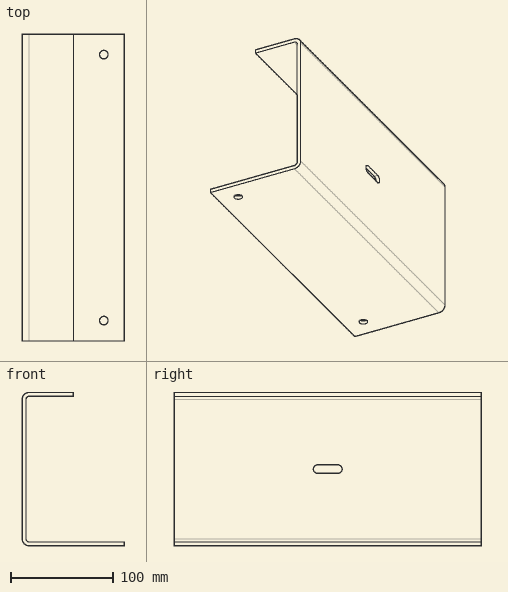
import cadquery as cq

length = 300.0
height = 150.0
bottom_flange = 100.0
top_flange = 50.0

thickness = 4.0
inner_bend_radius = 3.0
outer_bend_radius = inner_bend_radius + thickness

hole_diameter = 8.0
hole_edge_distance = 20.0
slot_length = 28.0
slot_width = hole_diameter


def channel():
    """C-shaped sheet with unequal flanges, web on the -X side, centred along Y."""
    inner_height = height - 2 * thickness
    blank = (
        cq.Workplane("XY")
        .box(bottom_flange, length, height, centered=(False, True, False))
        .edges("|Y and <X")
        .fillet(outer_bend_radius)
    )
    cavity = (
        cq.Workplane("XY")
        .box(bottom_flange, length, inner_height, centered=(False, True, False))
        .edges("|Y and <X")
        .fillet(inner_bend_radius)
        .translate((thickness, 0, thickness))
    )
    top_trim = (
        cq.Workplane("XY")
        .box(bottom_flange, length, height, centered=(False, True, False))
        .translate((top_flange, 0, thickness))
    )
    return blank.cut(cavity).cut(top_trim)


def flange_holes():
    """Cutters for the two holes near the free edge of the bottom flange."""
    hole_x = bottom_flange - hole_edge_distance
    hole_y = length / 2 - hole_edge_distance
    return (
        cq.Workplane("XY")
        .pushPoints([(hole_x, -hole_y), (hole_x, hole_y)])
        .circle(hole_diameter / 2)
        .extrude(thickness)
    )


def web_slot():
    """Cutter for the slot in the middle of the web, lying along Y."""
    return (
        cq.Workplane("YZ")
        .center(0, height / 2)
        .slot2D(slot_length, slot_width)
        .extrude(thickness)
    )


result = channel().cut(flange_holes()).cut(web_slot())